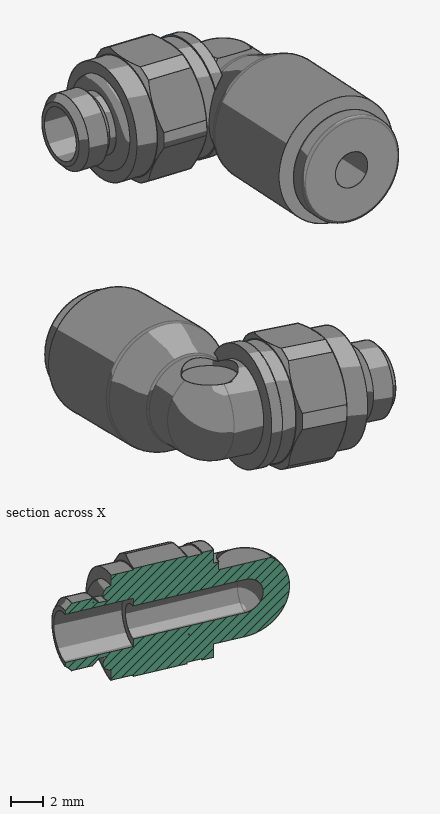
import cadquery as cq
import math


elbow_radius = 3.0
passage_radius = 1.2
badge_radius = 1.76
badge_floor_z = 2.43

cone_start = 2.37
cone_end = 5.27
socket_end = 12.5
collar_start = 13.0
collar_end = 14.21
socket_radius = 4.25
cone_blend_radius = 0.67
neck_radius = 2.1
collar_radius = 3.6
collar_rounding = 0.17

band_start = 2.11
band_end = 2.9
hex_start = 3.9
hex_end = 7.53
skirt_end = 9.03
undercut_end = 9.83
leg_end = 12.11
band_radius = 3.99
skirt_radius = 3.9
undercut_radius = 2.08
thread_radius = 2.5
thread_chamfer = 0.45
counterbore_radius = 1.76

hex_across_flats = 8.0
hex_corner_radius = 4.34
hex_end_radius = 3.95
hex_chamfer_angle = 30

seal_outer_radius = 3.12
seal_tip = 9.57
seal_wire_radius = 0.55


def revolve_leg(profile):
    """Revolve (radius, distance) points about the leg axis; distance runs along -Y."""
    points = [(radius, -distance) for radius, distance in profile]
    return cq.Workplane("XY").polyline(points).close().revolve(360, (0, 0), (0, 1))


def leg_cylinder(radius, start, end):
    return cq.Workplane("XZ", origin=(0, -start, 0)).circle(radius).extrude(end - start)


def ball_ended_profile(radius):
    """Start a half outline along +X whose closed end is a quarter circle about the origin."""
    bulge = radius * math.sqrt(0.5)
    outline = cq.Workplane("XY").moveTo(-radius, 0)
    return outline.threePointArc((-bulge, bulge), (0, radius))


def revolve_about_x(outline):
    return outline.close().revolve(360, (0, 0), (1, 0))


def tube_socket():
    outline = (
        ball_ended_profile(elbow_radius)
        .lineTo(cone_start, elbow_radius)
        .lineTo(cone_end, socket_radius)
        .lineTo(socket_end, socket_radius)
        .lineTo(socket_end, 0)
    )
    socket = revolve_about_x(outline)
    margin = 0.19
    cone_rims = cq.selectors.BoxSelector(
        (cone_start - margin, -socket_radius - margin, -socket_radius - margin),
        (cone_end + margin, socket_radius + margin, socket_radius + margin),
        boundingbox=True,
    )
    return socket.edges(cone_rims).edges("%CIRCLE").fillet(cone_blend_radius)


def release_collar():
    neck = cq.Workplane("YZ", origin=(socket_end, 0, 0)).circle(neck_radius)
    neck = neck.extrude(collar_start - socket_end)
    collar = cq.Workplane("YZ", origin=(collar_start, 0, 0)).circle(collar_radius)
    collar = collar.extrude(collar_end - collar_start)
    return neck.union(collar.edges("%CIRCLE").fillet(collar_rounding))


def hex_nut():
    across_corners = hex_across_flats / math.cos(math.pi / 6)
    nut = cq.Workplane("XZ", origin=(0, -hex_start, 0)).polygon(6, across_corners)
    nut = nut.extrude(hex_end - hex_start)
    drop = (hex_corner_radius - hex_end_radius) * math.tan(math.radians(hex_chamfer_angle))
    turned_blank = revolve_leg([
        (0, hex_start),
        (hex_end_radius, hex_start),
        (hex_corner_radius, hex_start + drop),
        (hex_corner_radius, hex_end - drop),
        (hex_end_radius, hex_end),
        (0, hex_end),
    ])
    return nut.intersect(turned_blank)


def threaded_stub():
    undercut_rise = thread_radius - undercut_radius
    return revolve_leg([
        (0, skirt_end),
        (undercut_radius, skirt_end),
        (undercut_radius, undercut_end),
        (thread_radius, undercut_end + undercut_rise),
        (thread_radius, leg_end - thread_chamfer),
        (thread_radius - thread_chamfer, leg_end),
        (0, leg_end),
    ])


def sealing_ring():
    ring_radius = seal_outer_radius - seal_wire_radius
    wire = cq.Workplane("XY").center(ring_radius, seal_wire_radius - seal_tip)
    return wire.circle(seal_wire_radius).revolve(360, (-ring_radius, 0), (-ring_radius, 1))


def badge_recess():
    recess = cq.Workplane("XY", origin=(0, 0, badge_floor_z)).circle(badge_radius)
    return recess.extrude(elbow_radius - badge_floor_z)


def passage():
    outline = (
        ball_ended_profile(passage_radius)
        .lineTo(collar_end, passage_radius)
        .lineTo(collar_end, 0)
    )
    return revolve_about_x(outline).union(leg_cylinder(passage_radius, 0, leg_end))


elbow = tube_socket().union(leg_cylinder(elbow_radius, 0, band_start)).cut(badge_recess())
threaded_leg = (
    leg_cylinder(band_radius, band_start, band_end)
    .union(leg_cylinder(skirt_radius, band_end, skirt_end))
    .union(hex_nut())
    .union(threaded_stub())
    .union(sealing_ring())
)
body = elbow.union(release_collar()).union(threaded_leg)

counterbore = leg_cylinder(counterbore_radius, hex_end, leg_end)
result = body.cut(passage()).cut(counterbore)